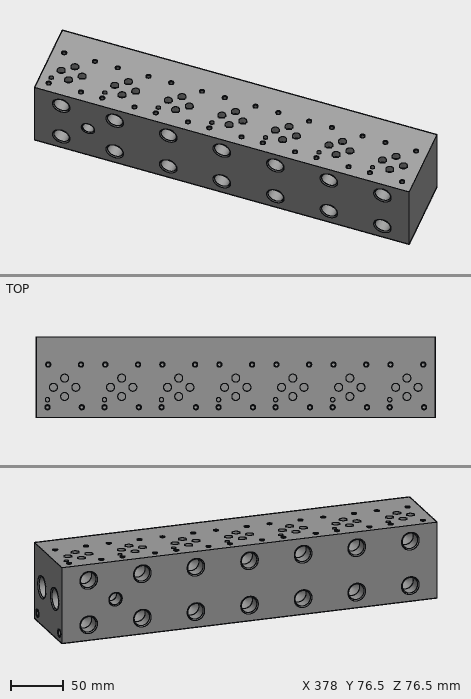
import cadquery as cq
import math

length = 378
side = 76.5
stations = 7
pitch = length / stations
first_station_x = pitch / 2
drill_tip_angle = 118

work_port_mouth = 17.8
work_port_core = 15.5
work_port_depth = 13.2
work_port_offset = 22.3

gauge_port_mouth = 13.5
gauge_port_core = 11.7
gauge_port_depth = 13.2

end_port_mouth = 22.3
end_port_core = 20.0
end_port_depth = 20.8
end_port_offset = 17.8

foot_hole_mouth = 8.0
foot_hole_core = 6.5
foot_hole_depth = 15.0
foot_hole_offset = 30.2
foot_hole_height = 8.0

valve_screw_mouth = 5.0
valve_screw_core = 3.65
valve_screw_depth = 11.5
back_screw_y = 12.0
back_screw_spacing = 31.0
front_screw_y = -28.5
front_screw_spacing = 32.5
pin_diameter = 4.0
pin_depth = 5.5
pin_y = -21.0
oil_hole_diameter = 7.5
oil_hole_depth = 7.5
oil_centre_y = -9.5
oil_half_span_x = 10.5
oil_half_span_y = 8.7


def drilled_hole(point, inward, mouth, core, depth):
    """Cutter for a blind hole with a 45 degree countersink and a conical drill tip."""
    core_radius = core / 2
    mouth_radius = mouth / 2
    tip_length = core_radius / math.tan(math.radians(drill_tip_angle / 2))
    profile = (
        cq.Workplane("XZ")
        .moveTo(0, 0)
        .lineTo(mouth_radius, 0)
        .lineTo(core_radius, mouth_radius - core_radius)
        .lineTo(core_radius, depth)
        .lineTo(0, depth + tip_length)
        .close()
    )
    cutter = profile.revolve(360, (0, 0, 0), (0, 1, 0)).val()
    return cutter.moved(cq.Plane(origin=point, normal=inward).location)


def flat_hole(x, y, diameter, depth):
    """Cutter for a flat-bottomed hole in the top face."""
    return cq.Solid.makeCylinder(diameter / 2, depth, cq.Vector(x, y, side), cq.Vector(0, 0, -1))


def front_port(x, z, mouth, core, depth):
    return drilled_hole((x, -side / 2, z), (0, 1, 0), mouth, core, depth)


def end_hole(y, z, mouth, core, depth):
    return drilled_hole((0, y, z), (1, 0, 0), mouth, core, depth)


def valve_interface(x):
    """Cutters for the screws, locating pin and oil holes of one valve centred at x."""
    cutters = []
    for y, spacing in ((back_screw_y, back_screw_spacing), (front_screw_y, front_screw_spacing)):
        for hand in (-1, 1):
            point = (x + hand * spacing / 2, y, side)
            cutters.append(
                drilled_hole(point, (0, 0, -1), valve_screw_mouth, valve_screw_core, valve_screw_depth)
            )
    cutters.append(flat_hole(x - front_screw_spacing / 2, pin_y, pin_diameter, pin_depth))
    for hand in (-1, 1):
        for dx, dy in ((hand * oil_half_span_x, 0), (0, hand * oil_half_span_y)):
            cutters.append(flat_hole(x + dx, oil_centre_y + dy, oil_hole_diameter, oil_hole_depth))
    return cutters


cutters = []

for station in range(stations):
    station_x = first_station_x + station * pitch
    cutters += valve_interface(station_x)
    for hand in (-1, 1):
        port_z = side / 2 + hand * work_port_offset
        cutters.append(front_port(station_x, port_z, work_port_mouth, work_port_core, work_port_depth))

gauge_x = first_station_x + pitch / 2
cutters.append(front_port(gauge_x, side / 2, gauge_port_mouth, gauge_port_core, gauge_port_depth))

for hand in (-1, 1):
    cutters.append(end_hole(hand * end_port_offset, side / 2, end_port_mouth, end_port_core, end_port_depth))
    cutters.append(
        end_hole(
            hand * foot_hole_offset, foot_hole_height, foot_hole_mouth, foot_hole_core, foot_hole_depth
        )
    )

block = cq.Workplane("XY").box(length, side, side, centered=(False, True, False))
result = cq.Workplane("XY").newObject([block.val().cut(*cutters)])